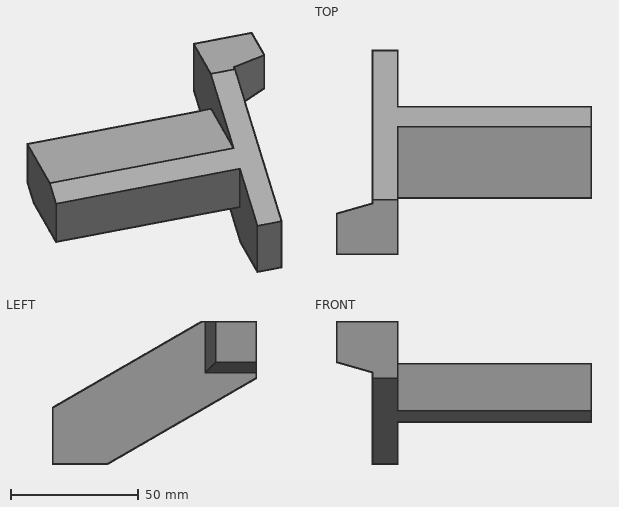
import cadquery as cq
import math

length = 100.0
width = 80.0
height = 56.0

plate_back = 14.0
plate_front = 24.0
flat_edge = 21.5
cut_angle = math.radians(30)
cut_drop = (width - flat_edge) * math.tan(cut_angle)

bar_width = 36.0
bar_height = 23.0

block_base = 20.0
block_tip = 16.0


def corner_cut_prism(start, end):
    """Extrude the corner-cut outline along X from start to end."""
    outline = [
        (0, height),
        (flat_edge, height),
        (width, height - cut_drop),
        (width, 0),
        (width - flat_edge, 0),
        (0, cut_drop),
    ]
    return cq.Workplane("YZ", origin=(start, 0, 0)).polyline(outline).close().extrude(end - start)


def make_bar():
    """Long bar whose sloped faces are flush with the plate edges."""
    bar_length = length - plate_back
    envelope = cq.Workplane("XY").box(bar_length, bar_width, bar_height).translate(
        (plate_back + bar_length / 2, width / 2, height / 2)
    )
    return envelope.intersect(corner_cut_prism(plate_back, length))


def make_block():
    """Block in the top corner with two tapered inner sides."""
    side_profile = [
        (0, height),
        (plate_front, height),
        (plate_front, height - block_base),
        (plate_back, height - block_base),
        (0, height - block_tip),
    ]
    plan_profile = [
        (0, 0),
        (plate_front, 0),
        (plate_front, block_base),
        (plate_back, block_base),
        (0, block_tip),
    ]
    side = cq.Workplane("XZ").polyline(side_profile).close().extrude(-block_base)
    plan = cq.Workplane("XY").polyline(plan_profile).close().extrude(height)
    return side.intersect(plan)


plate = corner_cut_prism(plate_back, plate_front)
result = plate.union(make_bar()).union(make_block())